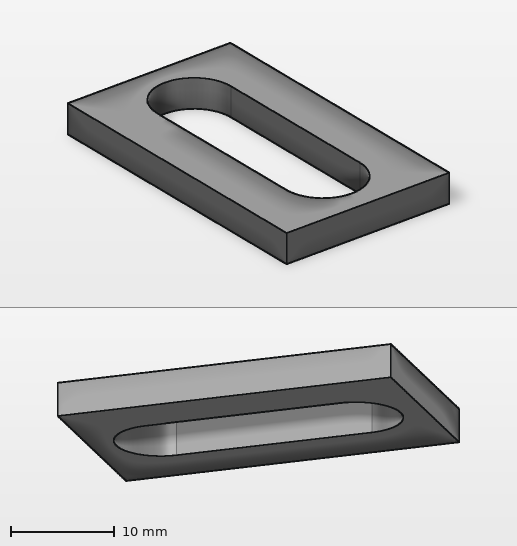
import cadquery as cq

plate_length = 34.0
plate_width = 20.0
plate_thickness = 3.4

slot_length = 29.0
slot_width = 9.0

plate = cq.Workplane("XY").box(plate_length, plate_width, plate_thickness)

result = plate.faces(">Z").workplane().slot2D(slot_length, slot_width).cutThruAll()